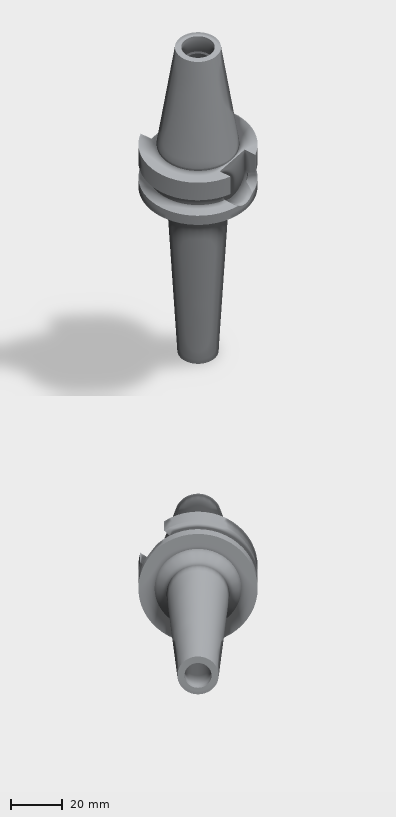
import cadquery as cq

total_height = 153.4
taper_base_z = 105.2
flange_top_z = 104.3
upper_rim_bottom_z = 95.4
groove_top_z = 93.1
groove_bottom_z = 89.9
lower_rim_top_z = 87.6
flange_bottom_z = 83.0
neck_z = 78.0

taper_top_radius = 8.9
taper_base_radius = 16.0
flange_radius = 23.0
groove_radius = 19.3
blend_top_radius = 16.7
blend_sag = 0.08
neck_radius = 12.1
nose_radius = 8.0

through_radius = 5.2
socket_radius = 6.5
socket_depth = 7.7

slot_width = 16.1
slot_floor_x = 16.4
slot_bottom_z = 86.0


def make_body():
    """Revolve the taper shank, grooved flange and tapered nose."""
    return (
        cq.Workplane("XZ")
        .moveTo(0, 0)
        .lineTo(nose_radius, 0)
        .lineTo(neck_radius, neck_z)
        .sagittaArc((blend_top_radius, flange_bottom_z), -blend_sag)
        .lineTo(flange_radius, flange_bottom_z)
        .lineTo(flange_radius, lower_rim_top_z)
        .lineTo(groove_radius, groove_bottom_z)
        .lineTo(groove_radius, groove_top_z)
        .lineTo(flange_radius, upper_rim_bottom_z)
        .lineTo(flange_radius, flange_top_z)
        .lineTo(taper_base_radius, flange_top_z)
        .lineTo(taper_base_radius, taper_base_z)
        .lineTo(taper_top_radius, total_height)
        .lineTo(0, total_height)
        .close()
        .revolve(360, (0, 0, 0), (0, 1, 0))
    )


def make_slot_cutter(side):
    """Round-bottomed drive slot, open at the flange top; side is -1 or +1."""
    half_width = slot_width / 2
    round_center_z = slot_bottom_z + half_width
    return (
        cq.Workplane("YZ", origin=(side * slot_floor_x, 0, 0))
        .moveTo(-half_width, flange_top_z)
        .lineTo(-half_width, round_center_z)
        .threePointArc((0, slot_bottom_z), (half_width, round_center_z))
        .lineTo(half_width, flange_top_z)
        .close()
        .extrude(side * flange_radius)
    )


def make_bore(radius, depth):
    """Axial cylinder reaching down from the small end of the taper."""
    return cq.Workplane("XY").workplane(offset=total_height - depth).circle(radius).extrude(depth)


result = make_body()

for side in (-1, 1):
    result = result.cut(make_slot_cutter(side))

for radius, depth in (
    (through_radius, total_height),
    (socket_radius, socket_depth),
):
    result = result.cut(make_bore(radius, depth))